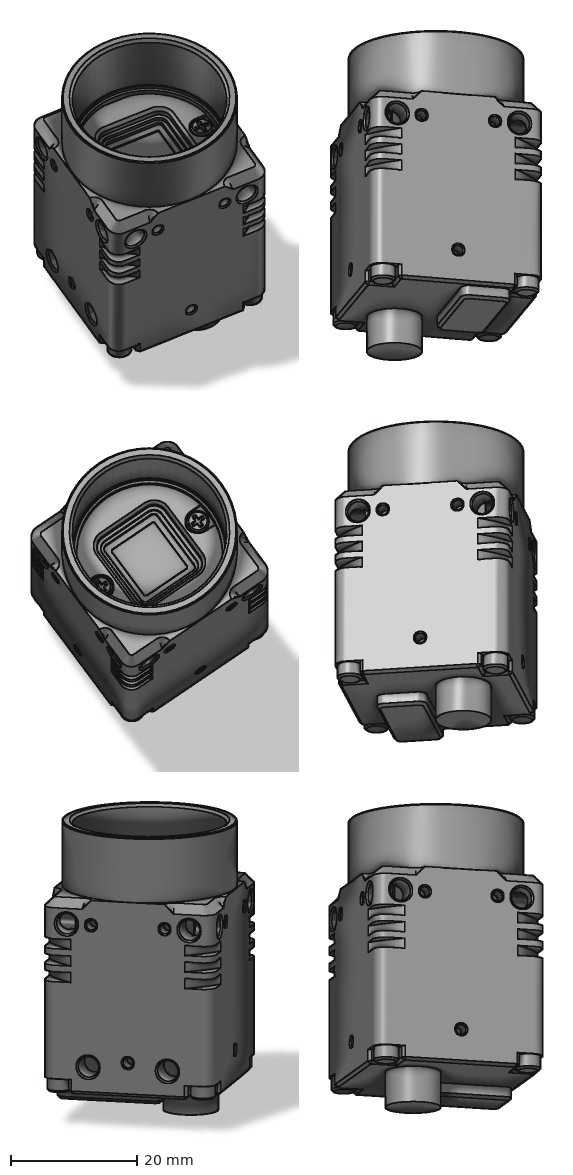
import cadquery as cq
import math


side = 28.0
half = side / 2
body_height = 31.5
corner_radius = 2.0
bevel = 1.5
bevel_reach = 7.5
base_chamfer = 0.5

mount_height = 10.5
mount_radius = 13.9
mount_edge = 0.2
bore_radius = 12.2
seat_radius = 12.0
bore_chamfer = 0.5
top = body_height + mount_height
ledge_depth = 11.05
well_radius = 11.55
well_depth = 12.4

plate_flat = 11.3
plate_depth = 11.9
window_chamfer = 0.52
window_steps = [
    (13.7, 12.8, 2.15, 13.25),
    (12.55, 11.5, 1.55, 13.85),
    (11.5, 10.25, 0.75, 14.4),
    (9.4, 8.35, 0.3, 14.7),
]

screw_offset = 9.4
screw_pocket_radius = 2.0
screw_pocket_flare = 11.05
screw_radius = 1.75
screw_bevel = 0.3
screw_top_depth = 11.7
cross_length = 2.2
cross_bottom_length = 1.55
cross_width = 0.55
cross_depth = 0.55

large_hole_edge = 0.3
upper_hole_drop = 4.0
large_hole_radius = 1.65
large_hole_depth = 4.35
large_upper_offset = 10.0
large_lower_offset = 6.5
large_lower_height = 4.5
small_hole_radius = 0.8
small_hole_edge = 0.25
small_hole_depth = 2.85
small_upper_offset = 6.0
small_lower_height = 5.5

groove_count = 3
groove_height = 1.6
groove_pitch = 2.65
first_groove_drop = 6.5
groove_reach = 9.3
groove_radius = math.hypot(half, groove_reach)

foot_recess_height = 2.3
foot_recess_reach = 9.75
foot_recess_flare = 0.5
foot_offset = 11.75
foot_radius = 1.95
foot_chamfer = 0.35

plug_length = 17.15
plug_width = 7.95
plug_height = 2.05
plug_center = (-4.5, -4.95)
plug_radius = 1.3
plug_chamfer = 0.5
socket_radius = 4.4
socket_height = 5.72
socket_center = (5.4, 5.4)

QUARTER_TURNS = (0, 90, 180, 270)
HALF_TURNS = (0, 180)
SIGNS = (-1, 1)


def rounded_box(length, width, radius, bottom, height):
    """Upright box on the Z axis with rounded vertical edges."""
    box = cq.Workplane("XY").workplane(offset=bottom).rect(length, width).extrude(height)
    return box.edges("|Z").fillet(radius)


def cylinder(radius, bottom, height, center=(0, 0)):
    return cq.Workplane("XY").workplane(offset=bottom).center(*center).circle(radius).extrude(height)


def around(shape):
    """Four copies of a shape, a quarter turn apart about Z."""
    copies = cq.Workplane("XY")
    for angle in QUARTER_TURNS:
        copies = copies.add(shape.rotate((0, 0, 0), (0, 0, 1), angle))
    return copies.combine()


def bevel_corners(body):
    """Bevel the top edges near each corner; every bevel runs out in a cone."""
    beveled = rounded_box(side, side, corner_radius, 0, body_height).faces(">Z").chamfer(bevel)
    corner = cq.Workplane("XY").workplane(offset=body_height - bevel)
    corner = corner.moveTo(bevel_reach, bevel_reach).lineTo(half, bevel_reach)
    corner = corner.lineTo(half, half).lineTo(bevel_reach, half).close().extrude(bevel)
    body = body.cut(around(corner).cut(beveled))

    cone = cq.Workplane("XZ").moveTo(0, body_height - bevel)
    cone = cone.lineTo(bevel, body_height).lineTo(0, body_height).close().revolve()
    for sign in SIGNS:
        run_out = cone.translate((sign * bevel_reach, -half, 0))
        for angle in QUARTER_TURNS:
            body = body.cut(run_out.rotate((0, 0, 0), (0, 0, 1), angle))
    return body


def grooves():
    """Ring-shaped cutters that leave a round bottom centred on the lens axis."""
    rings = cq.Workplane("XY")
    for index in range(groove_count):
        bottom = body_height - first_groove_drop - index * groove_pitch - groove_height
        ring = cylinder(side, bottom, groove_height).cut(cylinder(groove_radius, bottom, groove_height))
        rings = rings.add(ring)
    return rings.combine()


def foot_recess():
    """Corner notch whose two mouths flare at 45 degrees."""
    inner = foot_recess_reach
    flare = foot_recess_flare
    outline = [
        (inner, inner),
        (half - flare, inner),
        (half, inner - flare),
        (half, half),
        (inner - flare, half),
        (inner, half - flare),
    ]
    return cq.Workplane("XY").polyline(outline).close().extrude(foot_recess_height)


def foot():
    pad = cylinder(foot_radius, 0, foot_recess_height, (foot_offset, foot_offset))
    return pad.faces("<Z").chamfer(foot_chamfer)


def side_hole(radius, depth, edge, x, z):
    """Flat-bottomed hole with a chamfered mouth, drilled into the -Y side."""
    profile = cq.Workplane("XY").polyline([
        (0, -half),
        (radius + edge, -half),
        (radius, -half + edge),
        (radius, -half + depth),
        (0, -half + depth),
    ]).close()
    return profile.revolve(360, (0, 0), (0, 1)).translate((x, 0, z))


def large_hole(x, z):
    return side_hole(large_hole_radius, large_hole_depth, large_hole_edge, x, z)


def small_hole(x, z):
    return side_hole(small_hole_radius, small_hole_depth, small_hole_edge, x, z)


def side_holes():
    """Hole pattern shared by all four sides, plus a lower pair on the -Y side."""
    upper = body_height - upper_hole_drop
    shared = small_hole(0, small_lower_height)
    lower_pair = cq.Workplane("XY")
    for sign in SIGNS:
        shared = shared.union(large_hole(sign * large_upper_offset, upper))
        shared = shared.union(small_hole(sign * small_upper_offset, upper))
        lower_pair = lower_pair.add(large_hole(sign * large_lower_offset, large_lower_height))
    return around(shared).union(lower_pair.combine())


def housing():
    body = rounded_box(side, side, corner_radius, 0, body_height)
    body = bevel_corners(body).cut(around(foot_recess()))
    body = body.faces("<Z").chamfer(base_chamfer)
    body = body.union(around(foot()))
    return body.cut(grooves()).cut(side_holes())


def add_mount(body):
    """Lens ring with a stepped bore sunk into the housing."""
    ring = cylinder(mount_radius, body_height, mount_height).faces(">Z").chamfer(mount_edge)
    bore = cq.Workplane("XZ").polyline([
        (0, top),
        (bore_radius + bore_chamfer, top),
        (bore_radius, top - bore_chamfer),
        (bore_radius, body_height),
        (seat_radius, body_height),
        (seat_radius, top - ledge_depth),
        (well_radius, top - ledge_depth),
        (well_radius, top - well_depth),
        (0, top - well_depth),
    ]).close().revolve()
    return body.union(ring).cut(bore)


def screw_pocket():
    """Round-ended slot that opens with a flare through the +Y rim of the plate."""
    radius = screw_pocket_radius
    widening = well_radius - screw_pocket_flare
    outline = cq.Workplane("XY").workplane(offset=top - well_depth).moveTo(radius, screw_offset)
    outline = outline.lineTo(radius, screw_pocket_flare).lineTo(radius + widening, well_radius)
    outline = outline.lineTo(-radius - widening, well_radius).lineTo(-radius, screw_pocket_flare)
    outline = outline.lineTo(-radius, screw_offset)
    outline = outline.threePointArc((0, screw_offset - radius), (radius, screw_offset))
    return outline.close().extrude(well_depth - plate_depth)


def screw():
    """Screw head with a cross recess whose arms taper in length."""
    height = well_depth - screw_top_depth
    head = cylinder(screw_radius, top - well_depth, height, (0, screw_offset))
    head = head.faces(">Z").chamfer(screw_bevel)
    arm_top = top - screw_top_depth
    arm = cq.Workplane("XZ").polyline([
        (-cross_length / 2, arm_top),
        (cross_length / 2, arm_top),
        (cross_bottom_length / 2, arm_top - cross_depth),
        (-cross_bottom_length / 2, arm_top - cross_depth),
    ]).close().extrude(cross_width / 2, both=True)
    cross = arm.union(arm.rotate((0, 0, 0), (0, 0, 1), 90))
    return head.cut(cross.translate((0, screw_offset, 0)))


def sensor_plate():
    """Disc filling the well, with a flat on the -X side and two screw pockets."""
    plate_bottom = top - well_depth
    thickness = well_depth - plate_depth
    trim = cq.Workplane("XY").workplane(offset=plate_bottom).center(-plate_flat - well_radius, 0)
    trim = trim.rect(2 * well_radius, 2 * well_radius).extrude(thickness)
    pocket = screw_pocket()
    plate = cylinder(well_radius, plate_bottom, thickness).cut(trim)
    return plate.cut(pocket).cut(pocket.mirror("XZ"))


def window():
    """Chamfered mouth and shrinking rounded steps down to the sensor."""
    length, width, radius, _ = window_steps[0]
    mouth = rounded_box(
        length + 2 * window_chamfer,
        width + 2 * window_chamfer,
        radius + window_chamfer,
        top - plate_depth - window_chamfer,
        2 * window_chamfer,
    )
    cutter = mouth.faces("<Z").chamfer(window_chamfer)
    start = plate_depth
    for length, width, radius, depth in window_steps:
        cutter = cutter.union(rounded_box(length, width, radius, top - depth, depth - start))
        start = depth
    return cutter


def connectors():
    """Rounded rectangular plug and round socket below the housing."""
    plug = rounded_box(plug_length, plug_width, plug_radius, -plug_height, plug_height)
    plug = plug.faces("<Z").chamfer(plug_chamfer).translate((*plug_center, 0))
    return plug.union(cylinder(socket_radius, -socket_height, socket_height, socket_center))


result = add_mount(housing())
result = result.union(sensor_plate()).cut(window())
for angle in HALF_TURNS:
    result = result.union(screw().rotate((0, 0, 0), (0, 0, 1), angle))
result = result.union(connectors())